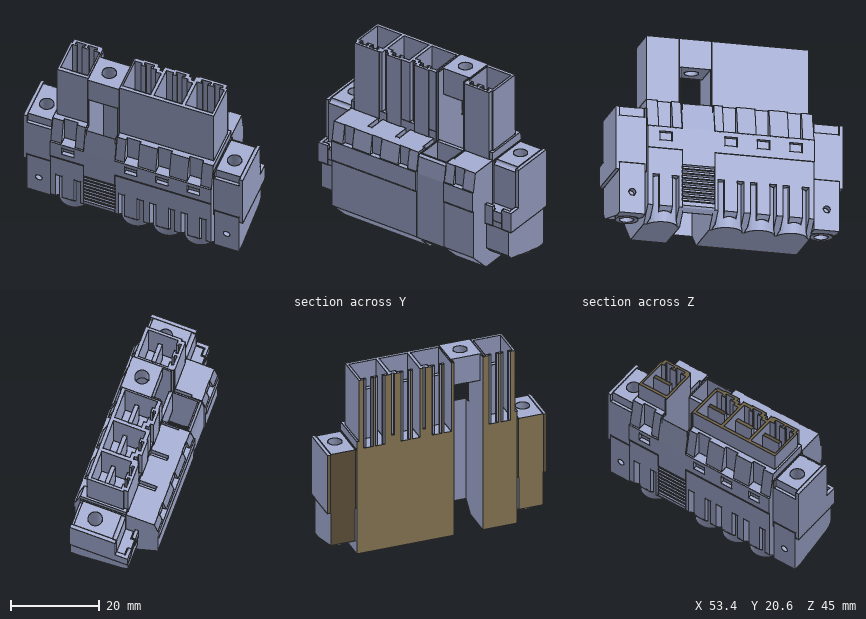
import cadquery as cq

length = 53.35
total_depth = 20.6
total_height = 45.0
pitch = 7.65
body_half_width = 19.5
contact_bays = [-2 * pitch, 0.0, pitch, 2 * pitch]
center_bay = -pitch
edge_bay = 2 * pitch
center_left = center_bay - pitch / 2
center_right = center_bay + pitch / 2

rear_top = 27.2
collar_top = 29.2
collar_front = 1.6
collar_back = 12.65
band_bottom = 17.3
band_top = 22.45
face_setback = 0.2
front_slope_setback = 0.45
rear_slope_setback = 0.3
rear_setback = 0.25
rear_slope_top_y = 19.45
front_chamfer = 3.8
rear_chamfer_start = 15.25

front_notch_width = 3.3
front_notch_depth = 2.3
rear_notch_width = 2.6
rear_notch_depth = 1.25
window_width = 3.0
window_bottom = 19.2
window_top = 21.35
window_depth = 0.95
rear_slot_width = 1.1
rear_slot_end = 16.85
rear_slot_depth = 2.65

boss_radius = 3.75
boss_axis_y = 4.85
groove_inner = 1.5
groove_outer = 3.05
groove_top = 11.0
groove_depth = 2.9

channel_width = 7.0
plate_thickness = 1.1
plate_top = 28.8
bridge_top = total_height - 0.1
bridge_front = 2.65
bridge_back = 10.05
bridge_bottom = 38.05
leg_back = 12.1
rear_plate_front = 18.6
rear_plate_back = 20.0
rear_plate_top = 26.65
rear_plate_bevel = 0.55
rear_plate_slope_height = 4.25
crossbar_front = 11.65
crossbar_back = 12.5
crossbar_bottom = 10.65
rib_count = 8
rib_pitch = 1.1
rib_depth = 0.3
lowest_rib = 4.95
lowest_rib_bottom = 4.0

shroud_half_width = 19.05
shroud_front = 3.05
shroud_back = 12.6
shroud_pad = 0.2
outer_corner_width = 0.4
outer_corner_depth = 1.0
edge_pad_inner = 3.5
pad_left = 1.85
pad_right = 2.05
step_notch_depth = 0.6
deep_notch_depth = 1.35
deep_notch_left = 2.85
pocket_half_width = 3.4
edge_pocket_outer = 3.2
pocket_front = 3.9
pocket_back = 11.1
pocket_floor = rear_top
key_neck_width = 1.3
key_head_width = 2.25
key_neck_depth = 0.5
key_head_depth = 0.55
edge_key_offset = 1.45
corner_key_left = 1.7
corner_key_depth = 0.6
corner_block_left = 2.05
corner_block_depth = 0.7
contact_width = 4.55
contact_thickness = 0.95
contact_front = 6.65
contact_height = 12.8

screw_hole_diameter = 3.25
screw_axis_y = 6.4
cap_outer = length / 2
cap_wall = 0.85
cap_front = 1.6
cap_bottom = 11.9
cap_top = 27.05
cap_ledge_top = 17.0
cap_ledge_back = 15.65
cap_rear_wall = 0.8
cap_front_wall_top = 24.8
cap_notch_width = 2.45
cap_web_top = 13.35
block_outer = cap_outer - cap_wall
block_inner = 19.85
block_front = 1.45
block_upper_front = 2.35
block_back = 15.45
block_ledge_back = 14.5
block_ledge_top = 16.0
block_bottom = 1.55
block_foot_top = 13.6
block_bevel_top = 5.4
block_slope_back = 14.25
block_slope_top = 4.1
block_slope_front = 3.75
block_relief_radius = 0.95
screw_boss_radius = 2.6
front_hole_diameter = 1.6
front_hole_height = 6.6
front_hole_depth = 1.6


def box(x0, x1, y0, y1, z0, z1):
    """Box between two limits on each axis."""
    return cq.Workplane("XY").box(x1 - x0, y1 - y0, z1 - z0, centered=False).translate((x0, y0, z0))


def centered_box(x, width, y0, y1, z0, z1):
    """Box centred on x."""
    return box(x - width / 2, x + width / 2, y0, y1, z0, z1)


def extrude_along_x(outline, x0, x1):
    """Prism with a (y, z) outline between two X positions."""
    return cq.Workplane("YZ").polyline(outline).close().extrude(x1 - x0).translate((x0, 0, 0))


def upright_cylinder(x, y, radius, z0, z1):
    return cq.Workplane("XY").circle(radius).extrude(z1 - z0).translate((x, y, z0))


def side_body(x0, x1):
    """Part of the housing body that carries contact bays."""
    rear_lower = total_depth - rear_setback
    outline = [
        (front_chamfer, 0),
        (rear_chamfer_start, 0),
        (rear_lower, rear_lower - rear_chamfer_start),
        (rear_lower, band_bottom),
        (total_depth, band_bottom),
        (total_depth, band_top),
        (total_depth - rear_slope_setback, band_top),
        (rear_slope_top_y, rear_top),
        (collar_back, rear_top),
        (collar_back, collar_top),
        (collar_front, collar_top),
        (front_slope_setback, band_top),
        (0, band_top),
        (0, band_bottom),
        (face_setback, band_bottom),
        (face_setback, front_chamfer - face_setback),
    ]
    return extrude_along_x(outline, x0, x1)


def wire_boss(x):
    return upright_cylinder(x, boss_axis_y, boss_radius, 0, groove_top)


def bay_openings(x):
    """Notches, window and boss grooves of one contact bay."""
    groove_width = groove_outer - groove_inner
    groove_offset = (groove_outer + groove_inner) / 2
    rear_notch_front = total_depth - rear_notch_depth
    cutter = centered_box(x, front_notch_width, 0, front_notch_depth, band_top, collar_top)
    cutter = cutter.union(
        centered_box(x, rear_notch_width, rear_notch_front, total_depth, band_top, rear_top)
    )
    cutter = cutter.union(centered_box(x, window_width, 0, window_depth, window_bottom, window_top))
    for side in (-1, 1):
        groove_x = x + side * groove_offset
        cutter = cutter.union(centered_box(groove_x, groove_width, 0, groove_depth, 0, groove_top))
    return cutter


def rear_slots():
    """Slots in the rear top, one on each boundary between bays."""
    slots = cq.Workplane("XY")
    for x in (center_left, center_right, pitch / 2, 3 * pitch / 2):
        slots = slots.union(
            centered_box(x, rear_slot_width, collar_back, rear_slot_end, rear_top - rear_slot_depth, rear_top)
        )
    return slots


def finger_grip():
    """Outline of the pointed ribs with 45-degree flanks on the centre bay, from the blunt lowest rib upwards."""
    points = [(rib_depth, front_chamfer - rib_depth), (0, lowest_rib_bottom)]
    for i in range(rib_count):
        peak = lowest_rib + i * rib_pitch
        points.append((0, peak))
        points.append((rib_depth, peak + rib_depth))
        points.append((rib_depth, peak + rib_pitch - rib_depth))
    points.append((0, lowest_rib + rib_count * rib_pitch))
    return points


def center_section():
    """Open channel with a ribbed front plate, a rear plate, a crossbar and a screw bridge on two legs."""
    slope_bottom = rear_plate_top - rear_plate_bevel - rear_plate_slope_height
    outline = [
        (front_chamfer, 0),
        *finger_grip(),
        (0, band_top),
        (plate_thickness, plate_top),
        (bridge_front, plate_top),
        (bridge_front, bridge_top),
        (leg_back, bridge_top),
        (leg_back, rear_plate_top),
        (rear_plate_back - 2 * rear_plate_bevel, rear_plate_top),
        (rear_plate_back - rear_plate_bevel, rear_plate_top - rear_plate_bevel),
        (rear_plate_back, slope_bottom),
        (rear_plate_back, rear_plate_back - rear_chamfer_start),
        (rear_chamfer_start, 0),
    ]
    section = extrude_along_x(outline, center_left, center_right)
    section = section.cut(
        centered_box(center_bay, channel_width, plate_thickness, rear_plate_front, 0, bridge_bottom)
    )
    section = section.cut(
        centered_box(center_bay, channel_width, bridge_back, leg_back, bridge_bottom, total_height)
    )
    section = section.cut(
        upright_cylinder(center_bay, screw_axis_y, screw_hole_diameter / 2, bridge_bottom, total_height)
    )
    return section.union(
        centered_box(
            center_bay, channel_width, crossbar_front, crossbar_back, crossbar_bottom, rear_plate_top
        )
    )


def shroud_blocks():
    """Solid shroud towers with the keyed outline of their back face."""

    def tower(x0, x1, y0, y1):
        return box(x0, x1, y0, y1, rear_top, total_height)

    pad_back = shroud_back + shroud_pad
    blocks = tower(-shroud_half_width, center_left, shroud_front, shroud_back)
    blocks = blocks.union(tower(center_right, shroud_half_width, shroud_front, shroud_back))
    edge_pad_start = edge_bay - edge_pad_inner
    corner_start = shroud_half_width - outer_corner_width
    corner_front = pad_back - outer_corner_depth
    blocks = blocks.union(tower(edge_pad_start, corner_start, collar_front + shroud_front, pad_back))
    blocks = blocks.union(tower(-corner_start, -edge_pad_start, collar_front + shroud_front, pad_back))
    blocks = blocks.cut(box(corner_start, shroud_half_width, corner_front, pad_back, collar_top, total_height))
    blocks = blocks.cut(box(-shroud_half_width, -corner_start, corner_front, pad_back, collar_top, total_height))
    for x in (0.0, pitch):
        blocks = blocks.union(tower(x - pad_left, x + pad_right, shroud_back - shroud_pad, pad_back))
        shallow = box(
            x + pad_right, x + deep_notch_left, shroud_back - step_notch_depth, pad_back, collar_top, total_height
        )
        deep = box(
            x + deep_notch_left,
            x + pocket_half_width,
            shroud_back - deep_notch_depth,
            pad_back,
            collar_top,
            total_height,
        )
        blocks = blocks.cut(shallow).cut(deep)
    return blocks


def key_slot(x):
    """T-shaped keyway in the back wall of a pocket."""
    neck_back = pocket_back + key_neck_depth
    neck = centered_box(x, key_neck_width, pocket_back, neck_back, pocket_floor, total_height)
    head = centered_box(x, key_head_width, neck_back, neck_back + key_head_depth, pocket_floor, total_height)
    return neck.union(head)


def edge_pocket(x):
    """Pocket of an outermost shroud, with two keyways."""
    left = edge_pocket_outer if x < 0 else pocket_half_width
    right = pocket_half_width if x < 0 else edge_pocket_outer
    pocket = box(x - left, x + right, pocket_front, pocket_back, pocket_floor, total_height)
    return pocket.union(key_slot(x - edge_key_offset)).union(key_slot(x + edge_key_offset))


def inner_pocket(x):
    """Pocket of an inner shroud: one keyway, a recess in one rear corner and a block in the other."""
    left = x - pocket_half_width
    right = x + pocket_half_width
    pocket = box(left, right, pocket_front, pocket_back, pocket_floor, total_height)
    pocket = pocket.union(
        box(
            left, x - corner_key_left, pocket_back, pocket_back + corner_key_depth, pocket_floor, total_height
        )
    )
    pocket = pocket.cut(
        box(
            x + corner_block_left, right, pocket_back - corner_block_depth, pocket_back, pocket_floor, total_height
        )
    )
    return pocket.union(key_slot(x))


def make_housing():
    housing = side_body(-body_half_width, center_left).union(side_body(center_right, body_half_width))
    for x in contact_bays:
        housing = housing.cut(bay_openings(x)).union(wire_boss(x))
    housing = housing.cut(rear_slots()).union(shroud_blocks())
    for x in (-edge_bay, edge_bay):
        housing = housing.cut(edge_pocket(x))
    for x in (0.0, pitch):
        housing = housing.cut(inner_pocket(x))
    return housing.union(center_section())


def make_contact(x):
    """Flat blade standing on the floor of a shroud pocket."""
    contact_back = contact_front + contact_thickness
    return centered_box(
        x, contact_width, contact_front, contact_back, pocket_floor, pocket_floor + contact_height
    )


block_middle = (block_inner + block_outer) / 2


def screw_block_solid():
    """Screw block without its holes."""
    outline = [
        (block_front, block_bottom),
        (block_front, block_foot_top),
        (block_upper_front, block_foot_top),
        (block_upper_front, rear_top),
        (collar_back, rear_top),
        (collar_back, block_ledge_top),
        (block_ledge_back, block_ledge_top),
        (block_ledge_back, cap_bottom),
        (block_back, cap_bottom),
        (block_back, block_bevel_top),
        (block_slope_back, block_slope_top),
        (block_slope_front, block_bottom),
    ]
    block = extrude_along_x(outline, block_inner, block_outer)
    tongue = centered_box(
        block_middle, cap_notch_width, block_ledge_back, block_back, cap_web_top, block_ledge_top
    )
    boss = upright_cylinder(block_middle, screw_axis_y, screw_boss_radius, block_bottom, cap_bottom)
    relief = (
        cq.Workplane("YZ")
        .center(collar_back, rear_top)
        .circle(block_relief_radius)
        .extrude(block_outer - block_inner)
        .translate((block_inner, 0, 0))
    )
    return block.cut(relief).union(tongue).union(boss)


def make_screw_block():
    screw_hole = upright_cylinder(block_middle, screw_axis_y, screw_hole_diameter / 2, 0, rear_top)
    front_hole = (
        cq.Workplane("XZ")
        .center(block_middle, front_hole_height)
        .circle(front_hole_diameter / 2)
        .extrude(-front_hole_depth)
        .translate((0, block_front, 0))
    )
    return screw_block_solid().cut(screw_hole).cut(front_hole)


def make_cap():
    """Cap open at the top, with a notched rear wall on a low ledge."""
    outline = [
        (cap_front, cap_bottom),
        (cap_front, cap_top),
        (collar_back, cap_top),
        (collar_back, cap_ledge_top),
        (cap_ledge_back, cap_ledge_top),
        (cap_ledge_back, cap_bottom),
    ]
    rear_wall_front = cap_ledge_back - cap_rear_wall
    cap = extrude_along_x(outline, body_half_width, cap_outer)
    cap = cap.cut(box(block_inner, block_outer, block_upper_front, rear_wall_front, cap_bottom, cap_top))
    cap = cap.cut(box(body_half_width, block_outer, collar_back, rear_wall_front, cap_bottom, cap_top))
    cap = cap.cut(box(block_inner, block_outer, cap_front, block_upper_front, cap_front_wall_top, cap_top))
    cap = cap.cut(box(block_inner, block_outer, cap_front, block_upper_front, cap_bottom, block_foot_top))
    cap = cap.cut(
        centered_box(block_middle, cap_notch_width, rear_wall_front, cap_ledge_back, cap_web_top, cap_ledge_top)
    )
    return cap.cut(
        centered_box(block_middle, cap_notch_width, block_back, cap_ledge_back, cap_bottom, cap_web_top)
    )


housing = make_housing()
contacts = [make_contact(x) for x in contact_bays]
right_flange = [make_cap(), make_screw_block()]
left_flange = [part.mirror("YZ") for part in right_flange]

result = cq.Compound.makeCompound(
    [housing.val(), *[part.val() for part in contacts + left_flange + right_flange]]
)